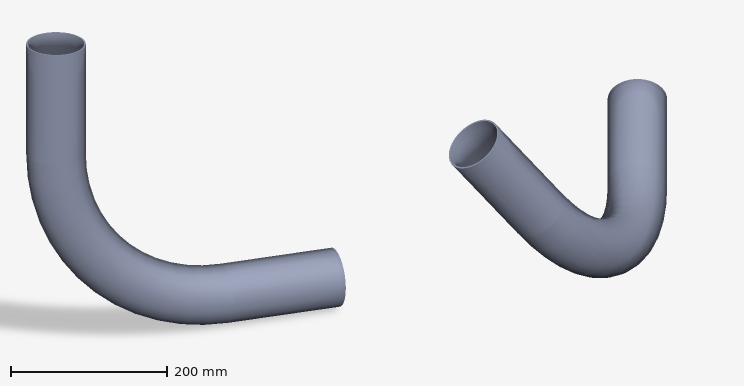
import cadquery as cq

overall_length = 419.0
outer_diameter = 76.3
inner_diameter = 72.0
straight_length = 152.5
bend_angle = 90.0

outer_radius = outer_diameter / 2
inner_radius = inner_diameter / 2
bend_radius = overall_length - straight_length - outer_radius
leg_length = straight_length + bend_radius


def tube_section(plane):
    """Ring-shaped tube section drawn on the given plane."""
    return cq.Workplane(plane).circle(outer_radius).circle(inner_radius)


upright_start = cq.Plane(origin=(0, 0, bend_radius), normal=(0, 0, 1), xDir=(1, 0, 0))
upright_leg = tube_section(upright_start).extrude(straight_length)

horizontal_end = cq.Plane(origin=(0, leg_length, 0), normal=(0, -1, 0), xDir=(1, 0, 0))
horizontal_leg = tube_section(horizontal_end).extrude(straight_length)

bend = tube_section(upright_start).revolve(
    bend_angle, (0, bend_radius, 0), (1, bend_radius, 0)
)

result = upright_leg.union(bend).union(horizontal_leg)